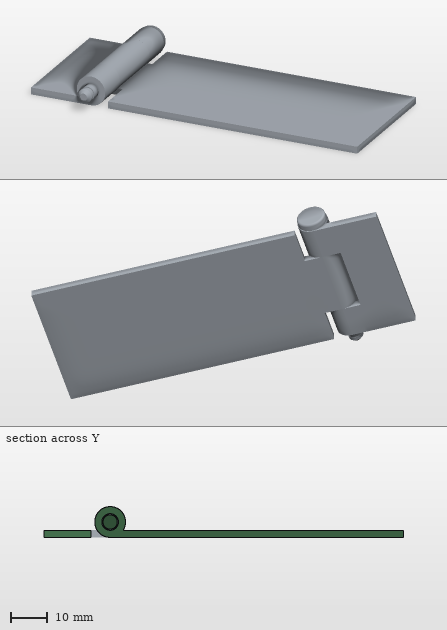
import cadquery as cq

total_length = 98.0
leaf_width = 38.1
leaf_thickness = 2.1
barrel_diameter = 8.5
barrel_radius = barrel_diameter / 2
axis_x = 18.0
axis_z = barrel_radius
knuckle_clearance = 0.9
end_knuckle = 9.5
middle_knuckle = leaf_width - 2 * end_knuckle

pin_diameter = 4.0
pin_radius = pin_diameter / 2
bore_diameter = 4.4
head_radius = 4.0
head_height = 2.1
head_fillet = 0.6
neck_length = 2.2
groove_radius = 1.8
groove_width = 0.7
tip_length = 2.0
tip_chamfer = 1.0

narrow_end_x = axis_x - barrel_radius - knuckle_clearance
wide_start_x = axis_x + barrel_radius + knuckle_clearance


def plate(x_start, x_end, y_start, y_length):
    """Flat strip of leaf resting on Z = 0."""
    return cq.Workplane("XY").box(
        x_end - x_start, y_length, leaf_thickness, centered=False
    ).translate((x_start, y_start, 0))


def rod(radius, y_start, length):
    """Cylinder on the hinge axis, running toward +Y."""
    return cq.Workplane("XZ", origin=(axis_x, y_start, axis_z)).circle(radius).extrude(-length)


def knuckle(y_start, length, plate_edge_x):
    """Barrel section and the strip joining it, tangent at the bottom, to its plate."""
    strip_start = min(axis_x, plate_edge_x)
    strip_end = max(axis_x, plate_edge_x)
    strip = plate(strip_start, strip_end, y_start, length)
    barrel = rod(barrel_radius, y_start, length)
    return barrel.union(strip).cut(rod(bore_diameter / 2, y_start, length))


def make_narrow_leaf():
    """Short leaf with a knuckle at each end of its width."""
    leaf = plate(0, narrow_end_x, 0, leaf_width)
    for y_start in (0, leaf_width - end_knuckle):
        leaf = leaf.union(knuckle(y_start, end_knuckle, narrow_end_x))
    return leaf


def make_wide_leaf():
    """Long leaf with one knuckle in the middle."""
    leaf = plate(wide_start_x, total_length, 0, leaf_width)
    return leaf.union(knuckle(end_knuckle, middle_knuckle, wide_start_x))


def make_pin():
    """Headed pin with a retaining groove and a bevelled tip."""
    groove_start = -neck_length - groove_width
    tip_start = groove_start - tip_length
    head = rod(head_radius, leaf_width, head_height).faces(">Y").edges().fillet(head_fillet)
    shank = rod(pin_radius, -neck_length, neck_length + leaf_width)
    groove = rod(groove_radius, groove_start, groove_width)
    tip = rod(pin_radius, tip_start, tip_length).faces("<Y").edges().chamfer(tip_chamfer)
    return head.union(shank).union(groove).union(tip)


narrow_leaf = make_narrow_leaf()
wide_leaf = make_wide_leaf()
pin = make_pin()

result = cq.Compound.makeCompound([narrow_leaf.val(), wide_leaf.val(), pin.val()])